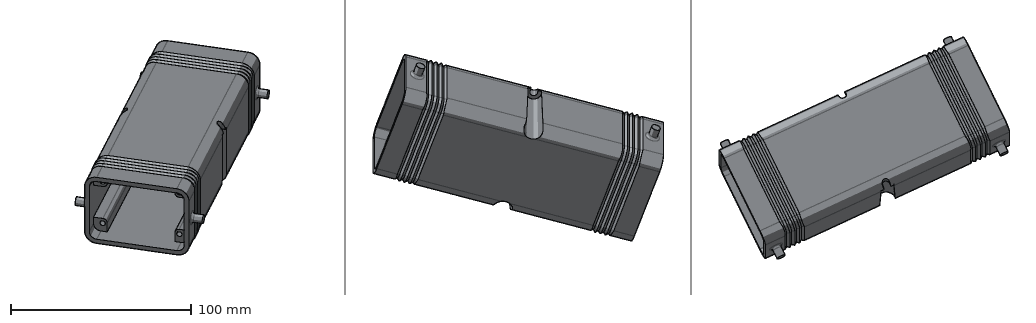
import math

import cadquery as cq

body_width = 60.0
body_length = 150.0
body_height = 43.0
corner_radius = 7.0
wall = 2.75
mid_height = body_height / 2

groove_count = 4
groove_pitch = 3.0
groove_depth = 1.0
groove_corner_radius = 6.0
groove_start = 12.0

pin_span = 73.0
pin_diameter = 5.0
pin_root_radius = 1.5
pin_end_offset = 6.5

post_half_gap = 19.4
post_half_clearance = 10.4
post_round = 2.5
post_setback = 9.0
screw_diameter = 3.0
screw_depth = 12.0
screw_x = 22.0
screw_z_offset = 13.5

slot_width = 4.2
slot_radius = slot_width / 2
notch_x = body_width / 2 - slot_radius
recess_height = 37.0
recess_top_radius = 4.4
recess_taper = 1.5
recess_bottom_radius = recess_top_radius + recess_height * math.tan(math.radians(recess_taper))
notch_boss_radius = 7.3

SIDES = (-1, 1)


def section(y, inset, radius):
    """Rounded outline of the tube at station y, shrunk by inset, with the given corner radius."""
    return (
        cq.Sketch()
        .rect(body_width - 2 * inset, body_height - 2 * inset)
        .vertices()
        .fillet(radius)
        .moved(cq.Location(cq.Plane((0, y, mid_height), (1, 0, 0), (0, -1, 0))))
    )


def tube_core(inset):
    """Full-length solid bounded by the tube's outline shrunk by inset."""
    half_length = body_length / 2
    radius = corner_radius - inset
    return (
        cq.Workplane()
        .placeSketch(section(-half_length, inset, radius), section(half_length, inset, radius))
        .loft(ruled=True)
    )


def groove_slope(y_start, y_end, inset_start, inset_end):
    """Sloping piece between a groove's valley and one of its rims."""
    return (
        cq.Workplane()
        .placeSketch(
            section(y_start, inset_start, groove_corner_radius),
            section(y_end, inset_end, groove_corner_radius),
        )
        .loft(ruled=True)
    )


def add_grooves(solid, end):
    """Replace a band of the solid near one end by V-grooves with sharp ridges between them."""
    band_length = groove_count * groove_pitch
    near = body_length / 2 - groove_start
    band = cq.Workplane().box(body_width, band_length, body_height).translate(
        (0, end * (near - band_length / 2), mid_height)
    )
    grooved = solid.cut(band)
    for index in range(groove_count):
        outer_rim = near - index * groove_pitch
        valley = outer_rim - groove_pitch / 2
        inner_rim = outer_rim - groove_pitch
        outer_slope = groove_slope(end * outer_rim, end * valley, 0, groove_depth)
        inner_slope = groove_slope(end * valley, end * inner_rim, groove_depth, 0)
        if index == 0:
            outer_slope = outer_slope.intersect(solid)
        if index == groove_count - 1:
            inner_slope = inner_slope.intersect(solid)
        grooved = grooved.union(outer_slope).union(inner_slope)
    return grooved


def post(side, level):
    """Screw post filling one inner corner between the end setbacks, rounded on its free edge."""
    post_width = body_width / 2 - wall / 2 - post_half_gap
    post_height = mid_height - wall / 2 - post_half_clearance
    free_edge = "|Y and " + ("<X" if side > 0 else ">X") + " and " + ("<Z" if level > 0 else ">Z")
    return (
        cq.Workplane()
        .box(post_width, body_length - 2 * post_setback, post_height)
        .edges(free_edge)
        .fillet(post_round)
        .translate(
            (
                side * (post_half_gap + post_width / 2),
                0,
                mid_height + level * (post_half_clearance + post_height / 2),
            )
        )
    )


def screw_hole(side, level, end):
    """Blind screw hole sunk into one end of a post."""
    face_y = end * (body_length / 2 - post_setback)
    centre = cq.Vector(side * screw_x, face_y, mid_height + level * screw_z_offset)
    return cq.Workplane(cq.Solid.makeCylinder(screw_diameter / 2, screw_depth, centre, cq.Vector(0, -end, 0)))


def notch_boss(side):
    """Upright column inside the side wall that backs the notch."""
    return cq.Workplane().center(side * notch_x, 0).circle(notch_boss_radius).extrude(body_height)


def notch(side):
    """Through slot open to the side, with the tapered recess below it."""
    slot_length = 3 * slot_width
    slot_centre_x = notch_x - slot_radius + slot_length / 2
    slot = (
        cq.Workplane()
        .center(side * slot_centre_x, 0)
        .slot2D(slot_length, slot_width)
        .extrude(body_height)
    )
    recess = cq.Solid.makeCone(
        recess_bottom_radius, recess_top_radius, recess_height, cq.Vector(side * notch_x, 0, 0)
    )
    return slot.union(cq.Workplane(recess))


def pin(side, end):
    """Locking pin with a concave fillet at its root, rooted in the side wall."""
    radius = pin_diameter / 2
    face = body_width / 2
    root = face - wall / 2
    fillet_reach = pin_root_radius * (1 - math.sqrt(0.5))
    return (
        cq.Workplane()
        .moveTo(root, 0)
        .lineTo(pin_span / 2, 0)
        .lineTo(pin_span / 2, radius)
        .lineTo(face + pin_root_radius, radius)
        .threePointArc(
            (face + fillet_reach, radius + fillet_reach),
            (face, radius + pin_root_radius),
        )
        .lineTo(root, radius + pin_root_radius)
        .close()
        .revolve(360, (0, 0), (1, 0))
        .rotate((0, 0, 0), (0, 0, 1), 0 if side > 0 else 180)
        .translate((0, end * (body_length / 2 - pin_end_offset), mid_height))
    )


result = tube_core(0)
for end in SIDES:
    result = add_grooves(result, end)
result = result.cut(tube_core(wall))

inner_envelope = tube_core(wall / 2)
for side in SIDES:
    result = result.union(notch_boss(side).intersect(inner_envelope))
    for level in SIDES:
        result = result.union(post(side, level).intersect(inner_envelope))

for side in SIDES:
    result = result.cut(notch(side))
    for end in SIDES:
        result = result.union(pin(side, end))
        for level in SIDES:
            result = result.cut(screw_hole(side, level, end))